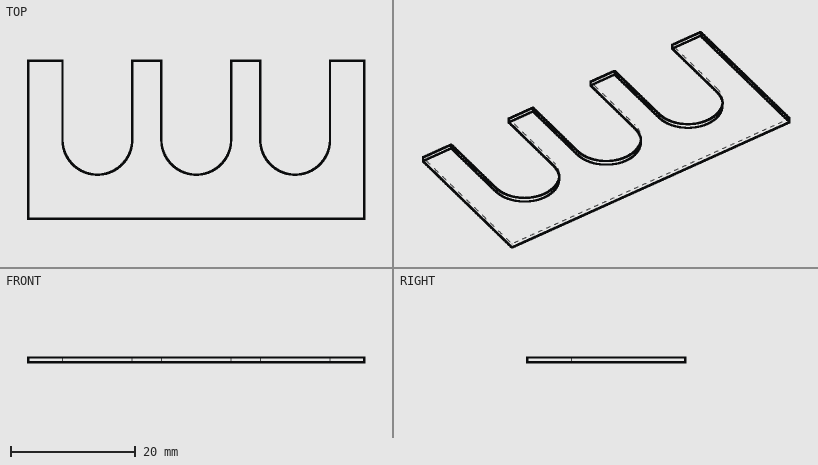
import cadquery as cq

plate_length = 53.975
plate_width = 25.4
plate_thickness = 0.8128
slot_count = 3
slot_width = 11.176
slot_pitch = 15.875
slot_center_y = 0.0


def make_plate():
    """Flat rectangular plate centred on the origin."""
    return cq.Workplane("XY").box(plate_length, plate_width, plate_thickness)


def make_slot(center_x):
    """Cutter for a slot with a round inner end, open at the +Y edge."""
    radius = slot_width / 2
    open_end_y = plate_width / 2
    return (
        cq.Workplane("XY")
        .workplane(offset=-plate_thickness / 2)
        .moveTo(center_x - radius, open_end_y)
        .lineTo(center_x - radius, slot_center_y)
        .threePointArc((center_x, slot_center_y - radius), (center_x + radius, slot_center_y))
        .lineTo(center_x + radius, open_end_y)
        .close()
        .extrude(plate_thickness)
    )


result = make_plate()
for index in range(slot_count):
    slot_x = (index - (slot_count - 1) / 2) * slot_pitch
    result = result.cut(make_slot(slot_x))